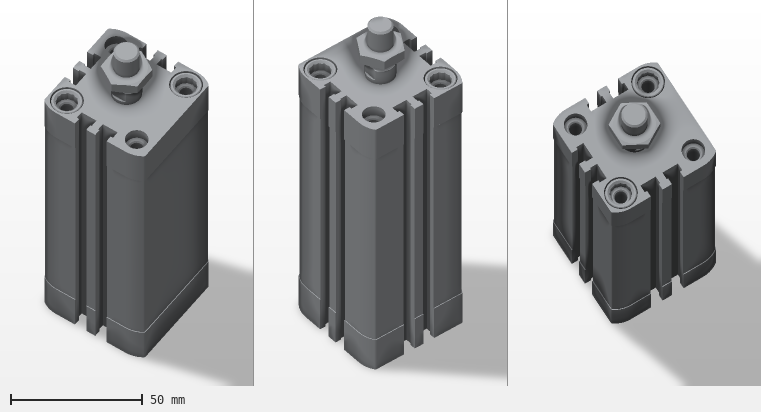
import cadquery as cq
import math

total_height = 149.6
housing_height = 124.0
cap_height = 15.3

housing_width = 47.0
barrel_inset = 0.3
hole_pitch = 32.5
corner_radius = 12.0
edge_radius = 1.0

slot_depth = 5.8
slot_lip = 2.7
slot_mouth_inner = 2.1
slot_mouth_outer = 7.3
slot_inner = 1.5
slot_outer = 8.4
slotted_face_angles = (0, 180, 270)

through_diameter = 5.0
hole_mouth_diameter = 6.0
recess_depth = 4.6
counterbore_diameter = 9.0

head_bore_diameter = 12.9
head_diameter = 12.0
head_top_gap = 0.1
head_chamfer = 0.3
socket_mouth_diameter = 10.2
socket_tip_diameter = 8.7
socket_root_diameter = 8.2
socket_teeth = 12

rod_diameter = 12.0
rod_flat_width = 10.0
flat_bottom = 125.8
shoulder_height = 130.6
neck_diameter = 8.5
neck_fillet = 0.9
neck_top = 132.4
thread_diameter = 10.0
thread_bottom = 134.3
thread_chamfer = 0.7

nut_across_flats = 17.0
nut_height = 5.0
nut_bottom = 134.6
nut_face_diameter = 16.3
nut_chamfer_angle = 15


def cylinder(diameter, bottom, top):
    return cq.Workplane("XY").workplane(offset=bottom).circle(diameter / 2).extrude(top - bottom)


def cone(bottom_diameter, bottom, top_diameter, top):
    profile = [(0, bottom), (bottom_diameter / 2, bottom), (top_diameter / 2, top), (0, top)]
    return cq.Workplane("XZ").polyline(profile).close().revolve(360, (0, 0, 0), (0, 1, 0))


def section(inset, bottom, height):
    """Square prism whose corners are flat arcs blended into the X sides."""
    half = housing_width / 2 - inset
    radius = corner_radius - inset
    arc_x = hole_pitch / 2
    centre_y = half - radius
    end_y = centre_y + math.sqrt(radius**2 - (half - arc_x) ** 2)
    mid_x = (half + arc_x) / 2
    mid_y = centre_y + math.sqrt(radius**2 - (mid_x - arc_x) ** 2)
    outline = (
        cq.Workplane("XY")
        .workplane(offset=bottom)
        .moveTo(-arc_x, half)
        .lineTo(arc_x, half)
        .threePointArc((mid_x, mid_y), (half, end_y))
        .lineTo(half, -end_y)
        .threePointArc((mid_x, -mid_y), (arc_x, -half))
        .lineTo(-arc_x, -half)
        .threePointArc((-mid_x, -mid_y), (-half, -end_y))
        .lineTo(-half, end_y)
        .threePointArc((-mid_x, mid_y), (-arc_x, half))
        .close()
        .extrude(height)
    )
    side_edges = outline.edges("|Z and >X").add(outline.edges("|Z and <X"))
    return outline.newObject(side_edges.vals()).fillet(edge_radius - inset)


def t_slots():
    """The pair of T-slots of the +Y face."""
    half = housing_width / 2
    lip_y = half - slot_lip
    floor_y = half - slot_depth
    slot = (
        cq.Workplane("XY")
        .polyline([
            (slot_mouth_inner, half),
            (slot_mouth_inner, lip_y),
            (slot_inner, lip_y),
            (slot_inner, floor_y),
            (slot_outer, floor_y),
            (slot_outer, lip_y),
            (slot_mouth_outer, lip_y),
            (slot_mouth_outer, half),
        ])
        .close()
        .extrude(housing_height)
    )
    return slot.union(slot.mirror("YZ"))


def through_hole():
    """Through hole, chamfered where it meets the recess floor."""
    floor = housing_height - recess_depth
    chamfer_depth = (hole_mouth_diameter - through_diameter) / 2
    chamfer = cone(through_diameter, floor - chamfer_depth, hole_mouth_diameter, floor)
    return cylinder(through_diameter, 0, housing_height).union(chamfer)


def counterbored_hole():
    counterbore = cylinder(counterbore_diameter, housing_height - recess_depth, housing_height)
    return through_hole().union(counterbore)


def toothed_socket(bottom, top):
    points = []
    for i in range(2 * socket_teeth):
        diameter = socket_tip_diameter if i % 2 == 0 else socket_root_diameter
        angle = math.pi / 2 + math.pi * i / socket_teeth
        points.append((diameter / 2 * math.cos(angle), diameter / 2 * math.sin(angle)))
    return cq.Workplane("XY").workplane(offset=bottom).polyline(points).close().extrude(top - bottom)


def screw_head_hole():
    """Ring gap around a chamfered screw head, its toothed socket and the through hole."""
    floor = housing_height - recess_depth
    head_top = housing_height - head_top_gap
    head = cylinder(head_diameter, floor, head_top).faces(">Z").chamfer(head_chamfer)
    gap = cylinder(head_bore_diameter, floor, housing_height).cut(head)
    mouth_depth = (socket_mouth_diameter - socket_root_diameter) / 2
    mouth = cone(socket_root_diameter, head_top - mouth_depth, socket_mouth_diameter, head_top)
    return through_hole().union(gap).union(mouth).union(toothed_socket(floor, head_top))


def make_housing():
    body = section(barrel_inset, 0, housing_height)
    for bottom in (0, housing_height - cap_height):
        body = body.union(section(0, bottom, cap_height))
    for angle in slotted_face_angles:
        body = body.cut(t_slots().rotate((0, 0, 0), (0, 0, 1), -angle))
    offset = hole_pitch / 2
    for side in (-1, 1):
        body = body.cut(counterbored_hole().translate((side * offset, -side * offset, 0)))
        body = body.cut(screw_head_hole().translate((side * offset, side * offset, 0)))
    return body


def make_rod():
    neck_radius = neck_diameter / 2
    thread_radius = thread_diameter / 2
    fillet_mid = neck_fillet * (1 - math.sqrt(0.5))
    rod = (
        cq.Workplane("XZ")
        .moveTo(0, housing_height)
        .lineTo(rod_diameter / 2, housing_height)
        .lineTo(rod_diameter / 2, shoulder_height)
        .lineTo(neck_radius + neck_fillet, shoulder_height)
        .threePointArc(
            (neck_radius + fillet_mid, shoulder_height + fillet_mid),
            (neck_radius, shoulder_height + neck_fillet),
        )
        .lineTo(neck_radius, neck_top)
        .lineTo(thread_radius, thread_bottom)
        .lineTo(thread_radius, total_height - thread_chamfer)
        .lineTo(thread_radius - thread_chamfer, total_height)
        .lineTo(0, total_height)
        .close()
        .revolve(360, (0, 0, 0), (0, 1, 0))
    )
    flat_height = shoulder_height - flat_bottom
    flat_plane = cq.Workplane("XY").workplane(offset=flat_bottom)
    flat_zone = flat_plane.rect(rod_diameter, rod_diameter).extrude(flat_height)
    between_flats = flat_plane.rect(rod_diameter, rod_flat_width).extrude(flat_height)
    return rod.cut(flat_zone.cut(between_flats))


def make_nut():
    nut_top = nut_bottom + nut_height
    corner_diameter = nut_across_flats / math.cos(math.pi / 6)
    hexagon = (
        cq.Workplane("XY")
        .workplane(offset=nut_bottom)
        .polygon(6, corner_diameter)
        .extrude(nut_height)
        .rotate((0, 0, 0), (0, 0, 1), 30)
    )
    chamfer_width = (corner_diameter - nut_face_diameter) / 2
    chamfer_drop = chamfer_width * math.tan(math.radians(nut_chamfer_angle))
    envelope = (
        cylinder(corner_diameter, nut_bottom, nut_top)
        .faces("<Z or >Z")
        .chamfer(chamfer_drop, chamfer_width)
    )
    return hexagon.intersect(envelope).cut(cylinder(thread_diameter, nut_bottom, nut_top))


housing = make_housing()
rod = make_rod()
nut = make_nut()

result = cq.Compound.makeCompound([housing.val(), rod.val(), nut.val()])